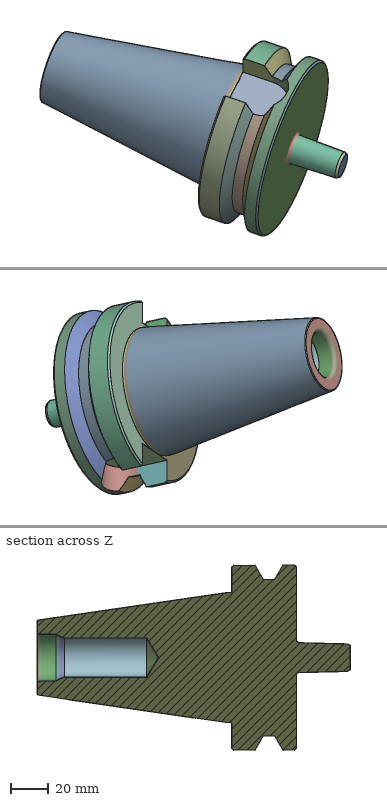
import cadquery as cq
import math

gauge_x = 102.3
flange_start_x = 104.8
flange_end_x = 139.8
total_length = 168.8

gauge_radius = 35.1
taper_half_slope = 7 / 48
small_end_radius = gauge_radius - gauge_x * taper_half_slope
small_end_chamfer = 0.5

slot_width = 26.5
slot_floor_height = 35.3
slot_end_x = 135.9

flare_start_x = 103.8
flare_end_radius = slot_floor_height

flange_radius = 50.0
front_rim_end_x = 117.5
rear_rim_start_x = 132.3
groove_floor_radius = 42.4
groove_flank_angle = 30
groove_flank = (flange_radius - groove_floor_radius) * math.tan(math.radians(groove_flank_angle))
flange_chamfer = 1.0

arbor_start_x = 141.3
arbor_base_radius = 8.1
arbor_half_slope = 1 / 40
arbor_fillet = arbor_start_x - flange_end_x
arbor_chamfer_length = 1.5
arbor_chamfer_x = total_length - arbor_chamfer_length
arbor_chamfer_radius = arbor_base_radius - (arbor_chamfer_x - arbor_start_x) * arbor_half_slope
arbor_chamfer_height = 0.8
arbor_end_radius = arbor_chamfer_radius - arbor_chamfer_height

pilot_radius = 12.5
pilot_depth = 10.3
mouth_rounding = 2.0
shoulder_radius = 11.5
shoulder_depth = 12.0
core_radius = 10.5
core_start_depth = 14.9
core_depth = 59.0
drill_point_angle = 118


def make_body():
    """Revolve the taper, flange and arbor about the X axis."""
    profile = (
        cq.Workplane("XY")
        .lineTo(0, small_end_radius - small_end_chamfer)
        .lineTo(small_end_chamfer, small_end_radius + small_end_chamfer * taper_half_slope)
        .lineTo(gauge_x, gauge_radius)
        .lineTo(flare_start_x, gauge_radius)
        .lineTo(flange_start_x, flare_end_radius)
        .lineTo(flange_start_x, flange_radius - flange_chamfer)
        .lineTo(flange_start_x + flange_chamfer, flange_radius)
        .lineTo(front_rim_end_x, flange_radius)
        .lineTo(front_rim_end_x + groove_flank, groove_floor_radius)
        .lineTo(rear_rim_start_x - groove_flank, groove_floor_radius)
        .lineTo(rear_rim_start_x, flange_radius)
        .lineTo(flange_end_x - flange_chamfer, flange_radius)
        .lineTo(flange_end_x, flange_radius - flange_chamfer)
        .lineTo(flange_end_x, arbor_base_radius + arbor_fillet)
        .radiusArc((arbor_start_x, arbor_base_radius), -arbor_fillet)
        .lineTo(arbor_chamfer_x, arbor_chamfer_radius)
        .lineTo(total_length, arbor_end_radius)
        .lineTo(total_length, 0)
        .close()
    )
    return profile.revolve(360, (0, 0, 0), (1, 0, 0))


def make_bore():
    """Revolve the rounded mouth, pilot bore, two lead-in cones, core hole and drill point."""
    point_length = core_radius / math.tan(math.radians(drill_point_angle / 2))
    profile = (
        cq.Workplane("XY")
        .lineTo(0, pilot_radius + mouth_rounding)
        .radiusArc((mouth_rounding, pilot_radius), -mouth_rounding)
        .lineTo(pilot_depth, pilot_radius)
        .lineTo(shoulder_depth, shoulder_radius)
        .lineTo(core_start_depth, core_radius)
        .lineTo(core_depth, core_radius)
        .lineTo(core_depth + point_length, 0)
        .close()
    )
    return profile.revolve(360, (0, 0, 0), (1, 0, 0))


def make_slot(side):
    """Round-ended drive slot cutter; side is +1 for +Z and -1 for -Z."""
    half_width = slot_width / 2
    arc_centre_x = slot_end_x - half_width
    return (
        cq.Workplane("XY", origin=(0, 0, side * slot_floor_height))
        .moveTo(flare_start_x, -half_width)
        .lineTo(arc_centre_x, -half_width)
        .threePointArc((slot_end_x, 0), (arc_centre_x, half_width))
        .lineTo(flare_start_x, half_width)
        .close()
        .extrude(side * flange_radius)
    )


result = make_body().cut(make_bore())
for slot_side in (1, -1):
    result = result.cut(make_slot(slot_side))